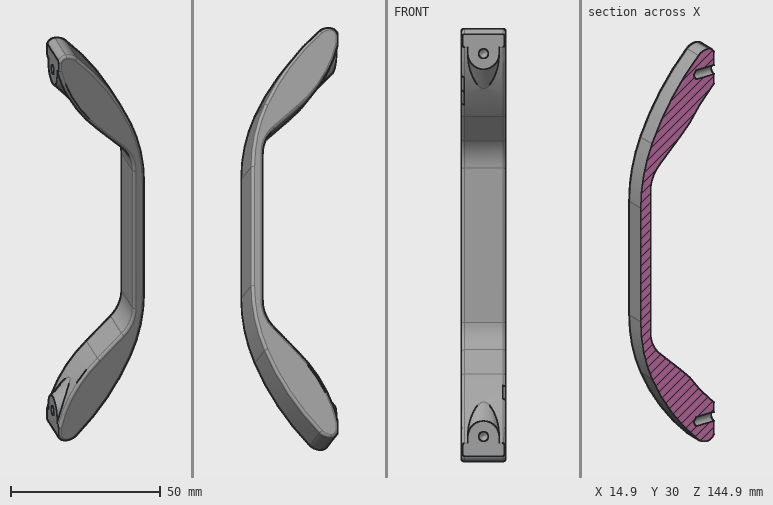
import cadquery as cq
import math

length = 144.9
width = 14.9
height = 30.0
grip_thickness = 4.2
grip_half_length = 21.0
bend_end = 25.8
rim_radius = 1.0
half_length = length / 2
grip_inner = height - grip_thickness

shoulder = (25.4, 43.5)
tip_start = (6.4, 71.0)
tip_peak = (2.6, half_length)
bulge_middle = (5.4, 53.2)
neck_top = (13.6, 43.0)
neck_bottom = (22.0, 34.9)

crown_height = 0.17
crown_bottom = 67.0
crown_top = 70.0
pad_top = 66.6
screw_z = 64.0
screw_diameter = 3.2
screw_depth = 7.2
drill_point_angle = 118.0
boss_radius = 5.2
boss_depth = 6.5
boss_drop_per_depth = 1.1


def upper_half():
    """Upper half of the handle, extruded from its side outline in (y, z)."""
    return (
        cq.Workplane("YZ")
        .moveTo(height, 0)
        .lineTo(height, grip_half_length)
        .tangentArcPoint(shoulder, relative=False)
        .tangentArcPoint(tip_start, relative=False)
        .tangentArcPoint(tip_peak, relative=False)
        .tangentArcPoint((-crown_height, crown_top), relative=False)
        .lineTo(-crown_height, crown_bottom)
        .threePointArc(bulge_middle, neck_top)
        .lineTo(*neck_bottom)
        .tangentArcPoint((grip_inner, bend_end), relative=False)
        .lineTo(grip_inner, 0)
        .close()
        .extrude(width / 2, both=True)
    )


def handle_body():
    """Handle with rounded rims and its end crowns cut flat at y = 0."""
    upper = upper_half()
    body = upper.union(upper.mirror("XY")).clean()
    body = body.faces("<X or >X").edges().fillet(rim_radius)
    crown_trim = cq.Workplane("XY").box(2 * width, height, 2 * length).translate((0, -height / 2, 0))
    return body.cut(crown_trim)


def upper_boss():
    """U-shaped screw pad, extruded obliquely into the inner side."""
    pad = (
        cq.Workplane("XZ")
        .moveTo(-boss_radius, pad_top)
        .lineTo(-boss_radius, screw_z)
        .threePointArc((0, screw_z - boss_radius), (boss_radius, screw_z))
        .lineTo(boss_radius, pad_top)
        .close()
    )
    direction = cq.Vector(0, boss_depth, -boss_depth * boss_drop_per_depth)
    solid = cq.Solid.extrudeLinear(pad.val(), [], direction)
    return cq.Workplane("XY").newObject([solid])


def upper_screw_hole():
    """Blind drilled hole with a conical bottom."""
    radius = screw_diameter / 2
    point_length = radius / math.tan(math.radians(drill_point_angle / 2))
    return (
        cq.Workplane("XY")
        .lineTo(radius, 0)
        .lineTo(radius, screw_depth)
        .lineTo(0, screw_depth + point_length)
        .close()
        .revolve(360, (0, 0, 0), (0, 1, 0))
        .translate((0, 0, screw_z))
    )


boss = upper_boss()
hole = upper_screw_hole()
result = handle_body()
for feature in (boss, boss.mirror("XY")):
    result = result.union(feature)
for feature in (hole, hole.mirror("XY")):
    result = result.cut(feature)